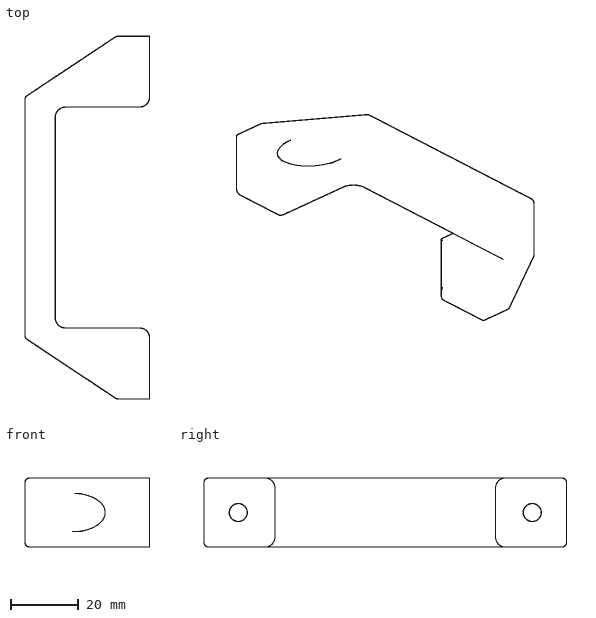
import cadquery as cq
import math

depth = 37.0
length = 107.5
height = 20.5

grip_thickness = 9.0
grip_half_length = 35.7
foot_side_depth = 9.8
opening_half_length = 32.7
half_length = length / 2

outer_round = 1.5
opening_round = 3.0

hole_offset = 43.5
hole_diameter = 5.3
bore_diameter = 11.3
bore_floor_thickness = 5.4
bore_floor = depth - bore_floor_thickness
bore_mouth_round = 1.5

margin = 0.1


def make_block():
    """Solid block with sloped shoulders, rounded everywhere but on the mounting face."""
    shoulder = depth - foot_side_depth
    block = (
        cq.Workplane("XY")
        .polyline([
            (0, -grip_half_length),
            (shoulder, -half_length),
            (depth, -half_length),
            (depth, half_length),
            (shoulder, half_length),
            (0, grip_half_length),
        ])
        .close()
        .extrude(height / 2, both=True)
    )
    return block.edges("not(>X)").fillet(outer_round)


def cut_opening(body):
    """Through opening for the hand, with rounded inside corners and rounded rims."""
    opening = (
        cq.Workplane("XY")
        .box(depth, 2 * opening_half_length, height, centered=(False, True, True))
        .translate((grip_thickness, 0, 0))
        .edges("<X and |Z")
        .fillet(opening_round)
    )
    body = body.cut(opening)
    rims = cq.selectors.BoxSelector(
        (grip_thickness - margin, -opening_half_length - margin, -height),
        (depth + margin, opening_half_length + margin, height),
        boundingbox=True,
    )
    return body.edges(rims).edges("(>Z) or (<Z)").fillet(opening_round)


def round_foot_tip(body, side):
    """Round the upright edge between the opening and the mounting face over the full height."""
    face_y = side * opening_half_length
    tip_x = depth - opening_round
    tip_y = face_y + side * opening_round
    diagonal = opening_round * math.sqrt(0.5)
    waste = (
        cq.Workplane("XY")
        .moveTo(tip_x, face_y)
        .threePointArc((tip_x + diagonal, tip_y - side * diagonal), (depth, tip_y))
        .lineTo(depth, face_y)
        .close()
        .extrude(height / 2, both=True)
    )
    return body.cut(waste)


def cut_screw_hole(body, y):
    """Counterbored screw hole sunk into a sloped shoulder, with a rounded mouth."""
    plane = cq.Workplane("YZ").center(y, 0)
    bore = plane.circle(bore_diameter / 2).extrude(bore_floor)
    hole = plane.circle(hole_diameter / 2).extrude(depth)
    body = body.cut(bore)
    mouth = cq.selectors.BoxSelector(
        (0, y - bore_diameter, -bore_diameter / 2 - margin),
        (bore_floor - margin, y + bore_diameter, bore_diameter / 2 + margin),
        boundingbox=True,
    )
    return body.edges(mouth).fillet(bore_mouth_round).cut(hole)


body = cut_opening(make_block())
for side in (-1, 1):
    body = round_foot_tip(body, side)
    body = cut_screw_hole(body, side * hole_offset)

result = body